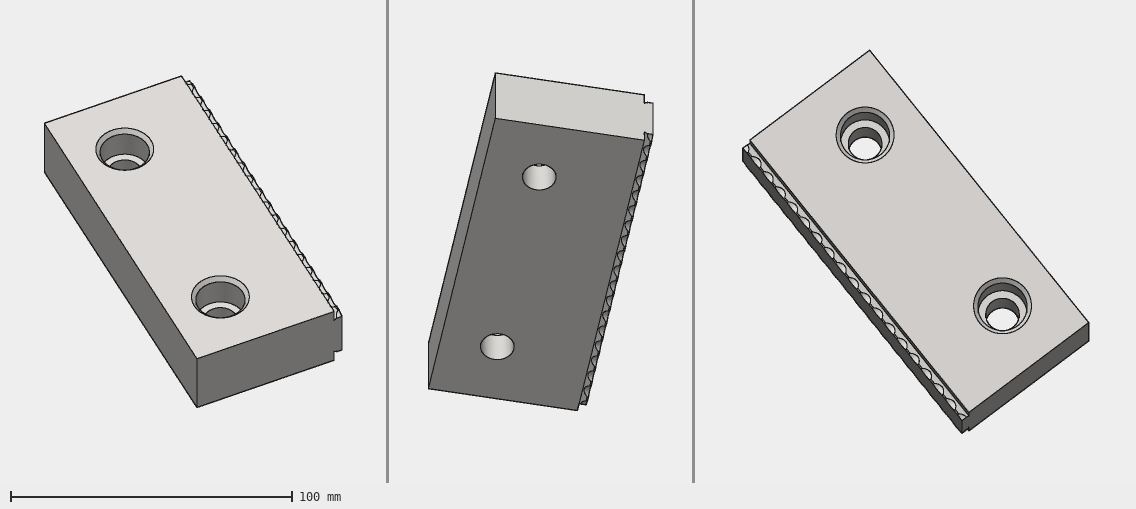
import cadquery as cq
import math

length = 127.0
depth = 57.2
height = 25.4

rib_depth = 3.2
rib_tip_half_height = 9.7
rib_base_half_height = 8.1
rib_flank_angle = 30.0

groove_pitches = 18
groove_width = 5.1
groove_sag = 0.9

hole_spacing = 79.6
hole_y = 20.5
hole_diameter = 12.0
counterbore_diameter = 17.5
counterbore_depth = 12.0
mouth_chamfer = 1.5

body_depth = depth - rib_depth


def make_body():
    return cq.Workplane("XY").box(length, body_depth, height).translate((0, body_depth / 2, 0))


def make_rib():
    """Rib whose flanks flare outward and end in a flat land at the tip."""
    flank_rise = rib_tip_half_height - rib_base_half_height
    land_y = body_depth + flank_rise / math.tan(math.radians(rib_flank_angle))
    return (
        cq.Workplane("YZ")
        .moveTo(0, -rib_base_half_height)
        .lineTo(body_depth, -rib_base_half_height)
        .lineTo(land_y, -rib_tip_half_height)
        .lineTo(depth, -rib_tip_half_height)
        .lineTo(depth, rib_tip_half_height)
        .lineTo(land_y, rib_tip_half_height)
        .lineTo(body_depth, rib_base_half_height)
        .lineTo(0, rib_base_half_height)
        .close()
        .extrude(length / 2, both=True)
    )


def make_groove(x, side):
    """Round-bottomed groove cutter along Y, on the upper (side 1) or lower (side -1) edge."""
    edge_z = side * rib_tip_half_height
    bottom_z = side * (rib_tip_half_height - groove_sag)
    half_width = groove_width / 2
    return (
        cq.Workplane("XZ", origin=(0, depth, 0))
        .moveTo(x - half_width, edge_z)
        .threePointArc((x, bottom_z), (x + half_width, edge_z))
        .close()
        .extrude(rib_depth)
    )


def cut_grooves(rib):
    """Evenly spaced grooves; the first and last are centred on the end faces."""
    pitch = length / groove_pitches
    for index in range(groove_pitches + 1):
        x = index * pitch - length / 2
        for side in (-1, 1):
            rib = rib.cut(make_groove(x, side))
    return rib


def make_hole_cutter():
    """Through hole with a counterbore and a 45 degree chamfer at its mouth."""
    top = height / 2
    hole_radius = hole_diameter / 2
    bore_radius = counterbore_diameter / 2
    profile = [
        (0, -top),
        (hole_radius, -top),
        (hole_radius, top - counterbore_depth),
        (bore_radius, top - counterbore_depth),
        (bore_radius, top - mouth_chamfer),
        (bore_radius + mouth_chamfer, top),
        (0, top),
    ]
    return cq.Workplane("XZ").polyline(profile).close().revolve(360, (0, 0), (0, 1))


result = make_body().union(cut_grooves(make_rib()))
for side in (-1, 1):
    hole_x = side * hole_spacing / 2
    result = result.cut(make_hole_cutter().translate((hole_x, hole_y, 0)))